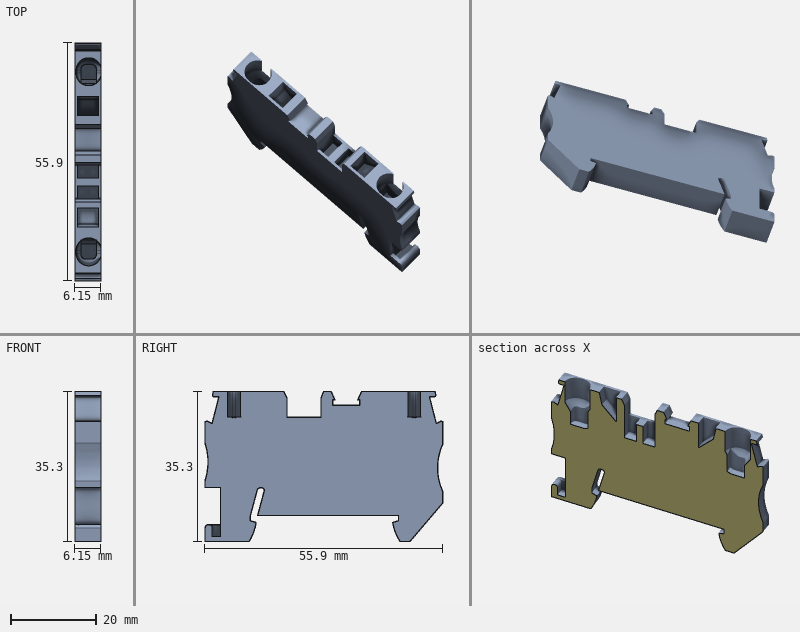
import cadquery as cq
import math

THICKNESS = 6.15
LENGTH = 55.9
HEIGHT = 35.25
HALF_LENGTH = LENGTH / 2
HALF_THICKNESS = THICKNESS / 2

MID_Y = 0.05
LIP_TOP_Y = 26.05
LIP_OUT_Y = 26.28
LIP_TIP_Y = 25.95
LIP_OUT_Z = 34.27
LIP_TIP_Z = 33.95
LIP_ROOT_Y = 24.75
LIP_ROOT_Z = 33.98
SHOULDER_ROOT_Y = 26.35
SHOULDER_ROOT_Z = 27.75
SHOULDER_CREST_Y = 27.45
SHOULDER_CREST_Z = 28.32
SHOULDER_Z = 28.15

REAR_HOLLOW_TOP_Z = 22.95
FRONT_HOLLOW_TOP_Z = 23.15
REAR_HOLLOW_BOTTOM_Z = 11.7
REAR_HOLLOW_DEPTH = 1.25
FRONT_HOLLOW_BOTTOM_Z = 14.25
FRONT_HOLLOW_DEPTH = 0.7

MARKER_FLOOR_Z = 32.05
MARKER_UNDERCUT_Z = 33.25
MARKER_FLOOR_Y = (2.1, 8.4)
MARKER_NOSE_Y = (2.6, 7.9)
MARKER_MOUTH_Y = (1.7, 8.8)

BRIDGE_FLOOR_Z = 29.2
BRIDGE_WALL_Z = 33.7
BRIDGE_Y = (-8.65, -0.75)
BRIDGE_MOUTH_Y = (-9.4, -0.1)

RAIL_SEAT_Z = 6.1
HOOK_ROOT_Z = 4.9
HOOK_TIP_Z = 4.5
REAR_CHAMFER_Z = 9.1
REAR_FOOT_Y = (17.85, 20.2)
REAR_HOOK_ROOT_Y = 17.45
REAR_HOOK_TIP_Y = 16.1
FRONT_FOOT_Y = -17.55
FRONT_HOOK_ROOT_Y = -17.25
FRONT_HOOK_TIP_Y = -15.9
HOOK_BULGE = 0.25

RELIEF_SEAT_Y = -15.6
RELIEF_TOP_Y = -14.0
RELIEF_WIDTH_Y = FRONT_HOOK_ROOT_Y - RELIEF_SEAT_Y
RELIEF_TOP_Z = 12.65
RELIEF_SHOULDER_Z = 12.1

RECESS_TOP_Z = 12.65
RECESS_FLOOR_Z = 4.0
RECESS_BACK_Y = -24.3

BAR_RADIUS = 0.85
BAR_WIDTH = 2 * BAR_RADIUS
SLOT_WEB = 0.9
SLOT_FLOOR_Z = 1.2

ENTRY_X = 0.17
ENTRY_Y = 21.15
ENTRY_RADIUS = 2.95
ENTRY_STRETCH = 0.65
ENTRY_DEPTH = 6.0
ENTRY_SLIT = 3.04
FUNNEL_DEPTH = 2.5
FUNNEL_END_RADIUS = 1.3
SHAFT_WIDTH = 3.65
SHAFT_OUTER_Y = 22.85
SHAFT_INNER_Y = 18.4
SHAFT_CORNER_RADIUS = 1.15
SHAFT_RAMP_LENGTH = 0.95
SHAFT_RAMP_RISE = 0.35
SHAFT_DEPTH = 12.0

POCKET_WIDTH = 4.9
RELEASE_OUTER_Y = 15.35
RELEASE_KNEE_Y = 14.6
RELEASE_INNER_Y = 10.85
RELEASE_KNEE_DEPTH = 3.45

BRIDGE_POCKET_LENGTH = 3.0
BRIDGE_POCKET_DEPTH = 5.0


def bulge_point(start, end, bulge):
    """Middle point of an arc that lies `bulge` to the right of the line start-end."""
    dy = end[0] - start[0]
    dz = end[1] - start[1]
    span = math.hypot(dy, dz)
    return ((start[0] + end[0]) / 2 + bulge * dz / span, (start[1] + end[1]) / 2 - bulge * dy / span)


def marker_groove(side):
    """Groove corners from the top edge down to the end face; side is +1 (rear) or -1 (front)."""
    corners = [
        (LIP_TOP_Y, HEIGHT),
        (LIP_OUT_Y, LIP_OUT_Z),
        (LIP_TIP_Y, LIP_TIP_Z),
        (LIP_ROOT_Y, LIP_ROOT_Z),
        (SHOULDER_ROOT_Y, SHOULDER_ROOT_Z),
        (SHOULDER_CREST_Y, SHOULDER_CREST_Z),
    ]
    placed = [(MID_Y + side * y, z) for y, z in corners]
    return placed + [(side * HALF_LENGTH, SHOULDER_Z)]


def top_edge():
    """Top edge corners from rear to front, through the marker notch and the bridge notch."""
    return [
        (MARKER_MOUTH_Y[1], HEIGHT),
        (MARKER_NOSE_Y[1], MARKER_UNDERCUT_Z),
        (MARKER_FLOOR_Y[1], MARKER_UNDERCUT_Z),
        (MARKER_FLOOR_Y[1], MARKER_FLOOR_Z),
        (MARKER_FLOOR_Y[0], MARKER_FLOOR_Z),
        (MARKER_FLOOR_Y[0], MARKER_UNDERCUT_Z),
        (MARKER_NOSE_Y[0], MARKER_UNDERCUT_Z),
        (MARKER_MOUTH_Y[0], HEIGHT),
        (BRIDGE_MOUTH_Y[1], HEIGHT),
        (BRIDGE_Y[1], BRIDGE_WALL_Z),
        (BRIDGE_Y[1], BRIDGE_FLOOR_Z),
        (BRIDGE_Y[0], BRIDGE_FLOOR_Z),
        (BRIDGE_Y[0], BRIDGE_WALL_Z),
        (BRIDGE_MOUTH_Y[0], HEIGHT),
    ]


def make_body():
    """Side profile in the YZ plane, extruded through the thickness."""
    front_groove = marker_groove(-1)
    rear_groove = marker_groove(1)
    rear_hollow_mid = (HALF_LENGTH - REAR_HOLLOW_DEPTH, (REAR_HOLLOW_TOP_Z + REAR_HOLLOW_BOTTOM_Z) / 2)
    front_hollow_mid = (FRONT_HOLLOW_DEPTH - HALF_LENGTH, (FRONT_HOLLOW_TOP_Z + FRONT_HOLLOW_BOTTOM_Z) / 2)
    rear_foot = (REAR_FOOT_Y[0], 0)
    rear_tip = (REAR_HOOK_TIP_Y, HOOK_TIP_Z)
    front_foot = (FRONT_FOOT_Y, 0)
    front_tip = (FRONT_HOOK_TIP_Y, HOOK_TIP_Z)
    relief_start = (RELIEF_TOP_Y, RELIEF_SHOULDER_Z)
    relief_end = (RELIEF_TOP_Y + RELIEF_WIDTH_Y, RELIEF_SHOULDER_Z)
    relief_mid = (RELIEF_TOP_Y + RELIEF_WIDTH_Y / 2, RELIEF_TOP_Z)

    profile = cq.Workplane("YZ").moveTo(*front_groove[-1])
    for corner in front_groove[-2::-1] + top_edge()[::-1] + rear_groove:
        profile = profile.lineTo(*corner)
    profile = (
        profile.lineTo(HALF_LENGTH, REAR_HOLLOW_TOP_Z)
        .threePointArc(rear_hollow_mid, (HALF_LENGTH, REAR_HOLLOW_BOTTOM_Z))
        .lineTo(HALF_LENGTH, REAR_CHAMFER_Z)
        .lineTo(REAR_FOOT_Y[1], 0)
        .lineTo(*rear_foot)
        .threePointArc(bulge_point(rear_tip, rear_foot, HOOK_BULGE), rear_tip)
        .lineTo(REAR_HOOK_ROOT_Y, HOOK_ROOT_Z)
        .lineTo(REAR_HOOK_ROOT_Y, RAIL_SEAT_Z)
        .lineTo(RELIEF_SEAT_Y, RAIL_SEAT_Z)
        .lineTo(*relief_start)
        .threePointArc(relief_mid, relief_end)
        .lineTo(FRONT_HOOK_ROOT_Y, RAIL_SEAT_Z)
        .lineTo(FRONT_HOOK_ROOT_Y, HOOK_ROOT_Z)
        .lineTo(*front_tip)
        .threePointArc(bulge_point(front_foot, front_tip, HOOK_BULGE), front_foot)
        .lineTo(-HALF_LENGTH, 0)
        .lineTo(-HALF_LENGTH, RECESS_FLOOR_Z - BAR_RADIUS)
        .radiusArc((BAR_RADIUS - HALF_LENGTH, RECESS_FLOOR_Z), BAR_RADIUS)
        .lineTo(RECESS_BACK_Y, RECESS_FLOOR_Z)
        .lineTo(RECESS_BACK_Y, RECESS_TOP_Z)
        .lineTo(-HALF_LENGTH, RECESS_TOP_Z)
        .lineTo(-HALF_LENGTH, FRONT_HOLLOW_BOTTOM_Z)
        .threePointArc(front_hollow_mid, (-HALF_LENGTH, FRONT_HOLLOW_TOP_Z))
        .close()
    )
    return profile.extrude(HALF_THICKNESS, both=True)


def box_between(x_range, y_range, z_range):
    """Box that fills the given ranges."""
    size = [abs(r[1] - r[0]) for r in (x_range, y_range, z_range)]
    middle = [(r[0] + r[1]) / 2 for r in (x_range, y_range, z_range)]
    return cq.Workplane("XY").box(*size).translate(tuple(middle))


def yz_prism(points, width, x_middle):
    """Prism of the given width along X whose section is a polygon in the YZ plane."""
    prism = cq.Workplane("YZ").polyline(points).close().extrude(width / 2, both=True)
    return prism.translate((x_middle, 0, 0))


def rear_wire_entry():
    """Cutter for the rear wire entry, before the MID_Y shift."""
    funnel_z = HEIGHT - ENTRY_DEPTH
    funnel_end_z = funnel_z - FUNNEL_DEPTH
    shaft_floor_z = HEIGHT - SHAFT_DEPTH
    outline_length = 2 * ENTRY_RADIUS + ENTRY_STRETCH
    end_length = 2 * FUNNEL_END_RADIUS + ENTRY_STRETCH

    mouth = (
        cq.Workplane("XY", origin=(ENTRY_X, ENTRY_Y, funnel_z))
        .slot2D(outline_length, 2 * ENTRY_RADIUS, 90)
        .extrude(ENTRY_DEPTH)
    )
    funnel = (
        cq.Workplane("XY", origin=(ENTRY_X, ENTRY_Y, funnel_end_z))
        .slot2D(end_length, 2 * FUNNEL_END_RADIUS, 90)
        .workplane(offset=FUNNEL_DEPTH)
        .slot2D(outline_length, 2 * ENTRY_RADIUS, 90)
        .loft(ruled=True)
    )
    slit = box_between(
        (ENTRY_X, HALF_THICKNESS),
        (ENTRY_Y - ENTRY_SLIT / 2, ENTRY_Y + ENTRY_SLIT / 2),
        (funnel_z, HEIGHT),
    )
    shaft = box_between(
        (ENTRY_X - SHAFT_WIDTH / 2, ENTRY_X + SHAFT_WIDTH / 2),
        (SHAFT_INNER_Y, SHAFT_OUTER_Y),
        (shaft_floor_z, funnel_z),
    )
    shaft = shaft.edges("|Z and >Y").fillet(SHAFT_CORNER_RADIUS)
    ramp = yz_prism(
        [
            (SHAFT_INNER_Y, shaft_floor_z),
            (SHAFT_INNER_Y + SHAFT_RAMP_LENGTH, shaft_floor_z),
            (SHAFT_INNER_Y, shaft_floor_z + SHAFT_RAMP_RISE),
        ],
        SHAFT_WIDTH,
        ENTRY_X,
    )
    return mouth.union(funnel).union(slit).union(shaft.cut(ramp))


def rear_release_pocket():
    """Cutter for the rear release pocket: steep outer wall, then a 45 degree floor."""
    knee_z = HEIGHT - RELEASE_KNEE_DEPTH
    floor_drop = RELEASE_KNEE_Y - RELEASE_INNER_Y
    section = [
        (RELEASE_OUTER_Y, HEIGHT),
        (RELEASE_KNEE_Y, knee_z),
        (RELEASE_INNER_Y, knee_z - floor_drop),
        (RELEASE_INNER_Y, HEIGHT),
    ]
    return yz_prism(section, POCKET_WIDTH, 0)


def bridge_pocket(y_start, y_end):
    """Cutter for one rectangular pocket in the bridge notch floor."""
    return box_between(
        (-POCKET_WIDTH / 2, POCKET_WIDTH / 2),
        (y_start, y_end),
        (BRIDGE_FLOOR_Z - BRIDGE_POCKET_DEPTH, BRIDGE_FLOOR_Z),
    )


def tool_slot():
    """Cutter for the tool slot; it is open to +X and rounds the inner top edge of the bar."""
    bar_top_y = -HALF_LENGTH + BAR_RADIUS
    bar_back_y = -HALF_LENGTH + BAR_WIDTH
    slot_width = THICKNESS - SLOT_WEB
    section = (
        cq.Workplane("YZ", origin=(SLOT_WEB - HALF_THICKNESS, 0, 0))
        .moveTo(bar_top_y, RECESS_FLOOR_Z)
        .radiusArc((bar_back_y, RECESS_FLOOR_Z - BAR_RADIUS), BAR_RADIUS)
        .lineTo(bar_back_y, SLOT_FLOOR_Z)
        .lineTo(RECESS_BACK_Y, SLOT_FLOOR_Z)
        .lineTo(RECESS_BACK_Y, RECESS_FLOOR_Z)
        .close()
    )
    return section.extrude(slot_width)


result = make_body().cut(tool_slot())
for rear_cutter in (rear_wire_entry(), rear_release_pocket()):
    front_cutter = rear_cutter.mirror("XZ")
    for cutter in (rear_cutter, front_cutter):
        result = result.cut(cutter.translate((0, MID_Y, 0)))
result = result.cut(bridge_pocket(BRIDGE_Y[0], BRIDGE_Y[0] + BRIDGE_POCKET_LENGTH))
result = result.cut(bridge_pocket(BRIDGE_Y[1] - BRIDGE_POCKET_LENGTH, BRIDGE_Y[1]))